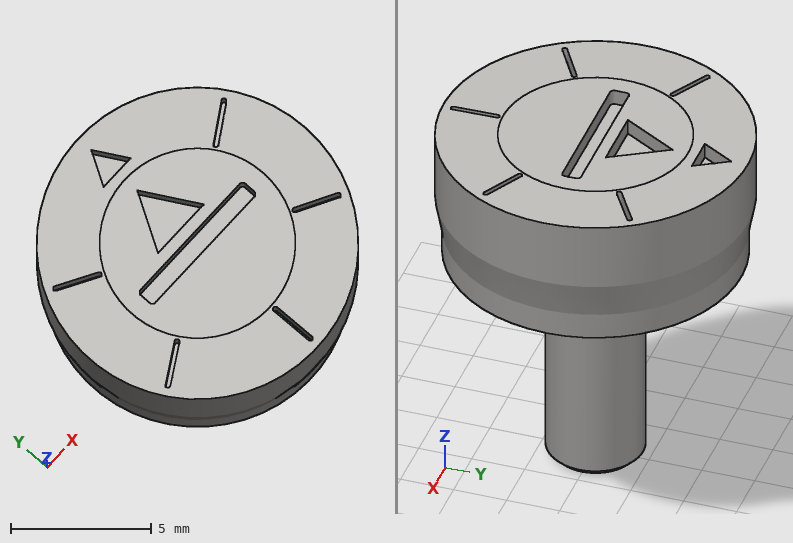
import cadquery as cq
import math

total_height = 13.8
head_height = 5.0
rim_height = 2.6
seat_height = 1.01
head_bottom = total_height - head_height

ring_diameter = 11.5
seat_diameter = 11.0

insert_diameter = 7.0
stem_diameter = 3.6
stem_chamfer = 0.3

pocket_depth = 0.6
ring_arrow_side = 1.44
ring_arrow_base_y = 3.88
insert_arrow_side = 2.43
insert_arrow_base_y = 0.8
slot_length = 5.55
slot_width = 0.7
slot_corner_radius = 0.14

mark_count = 5
mark_pitch_angle = 60.4
ring_arrow_angle = 90.0
mark_inner_radius = 3.6
mark_outer_radius = 5.42
mark_width = 0.18


def arrow_pocket(side, base_y):
    """Equilateral triangle pocket pointing to +Y, cut down from the top face."""
    apex_y = base_y + side * math.sqrt(3) / 2
    return (
        cq.Workplane("XY", origin=(0, 0, total_height))
        .moveTo(-side / 2, base_y)
        .lineTo(side / 2, base_y)
        .lineTo(0, apex_y)
        .close()
        .extrude(-pocket_depth)
    )


def division_mark(angle):
    """Radial round-ended groove in the top face of the ring."""
    return (
        cq.Workplane("XY", origin=(0, 0, total_height))
        .center((mark_inner_radius + mark_outer_radius) / 2, 0)
        .slot2D(mark_outer_radius - mark_inner_radius, mark_width)
        .extrude(-pocket_depth)
        .rotate((0, 0, 0), (0, 0, 1), angle)
    )


def screwdriver_slot():
    """Rectangular slot with rounded vertical corners in the insert face."""
    return (
        cq.Workplane("XY", origin=(0, 0, total_height))
        .rect(slot_length, slot_width)
        .extrude(-pocket_depth)
        .edges("|Z")
        .fillet(slot_corner_radius)
    )


def make_date_ring():
    """Stepped ring with a conical transition, an arrow and division marks."""
    bore_radius = insert_diameter / 2
    ring = (
        cq.Workplane("XZ")
        .moveTo(bore_radius, head_bottom)
        .lineTo(seat_diameter / 2, head_bottom)
        .lineTo(seat_diameter / 2, head_bottom + seat_height)
        .lineTo(ring_diameter / 2, total_height - rim_height)
        .lineTo(ring_diameter / 2, total_height)
        .lineTo(bore_radius, total_height)
        .close()
        .revolve()
    )
    ring = ring.cut(arrow_pocket(ring_arrow_side, ring_arrow_base_y))
    for index in range(1, mark_count + 1):
        ring = ring.cut(division_mark(ring_arrow_angle + index * mark_pitch_angle))
    return ring


def make_arrow_insert():
    """Round head filling the ring bore, with a chamfered stem below it."""
    stem = (
        cq.Workplane("XY")
        .circle(stem_diameter / 2)
        .extrude(head_bottom)
        .faces("<Z")
        .chamfer(stem_chamfer)
    )
    head = (
        cq.Workplane("XY", origin=(0, 0, head_bottom))
        .circle(insert_diameter / 2)
        .extrude(head_height)
    )
    insert = head.union(stem)
    insert = insert.cut(arrow_pocket(insert_arrow_side, insert_arrow_base_y))
    return insert.cut(screwdriver_slot())


date_ring = make_date_ring()
arrow_insert = make_arrow_insert()

result = cq.Compound.makeCompound([date_ring.val(), arrow_insert.val()])